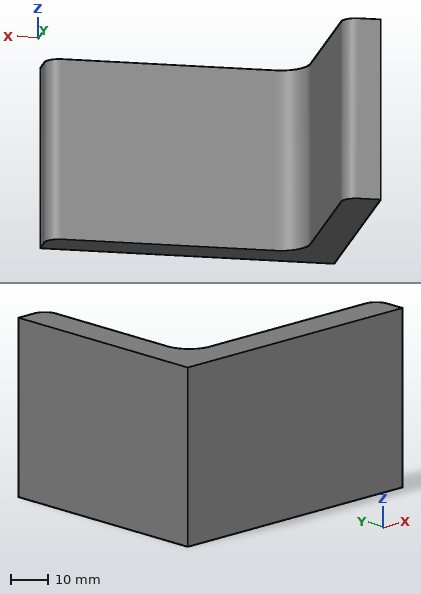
import cadquery as cq

long_leg = 80.0
short_leg = 65.0
length = 50.0
thickness = 10.0
root_radius = 8.0
toe_radius = 4.0

angle = (
    cq.Workplane("XY")
    .polyline([
        (0, 0),
        (long_leg, 0),
        (long_leg, thickness),
        (thickness, thickness),
        (thickness, short_leg),
        (0, short_leg),
    ])
    .close()
    .extrude(length)
)


def round_upright_edge(body, x, y, radius):
    """Fillet the edge parallel to Z that passes through (x, y)."""
    nearest = cq.selectors.NearestToPointSelector((x, y, length / 2))
    return body.edges("|Z").edges(nearest).fillet(radius)


angle = round_upright_edge(angle, thickness, thickness, root_radius)
angle = round_upright_edge(angle, long_leg, thickness, toe_radius)
angle = round_upright_edge(angle, thickness, short_leg, toe_radius)

result = angle